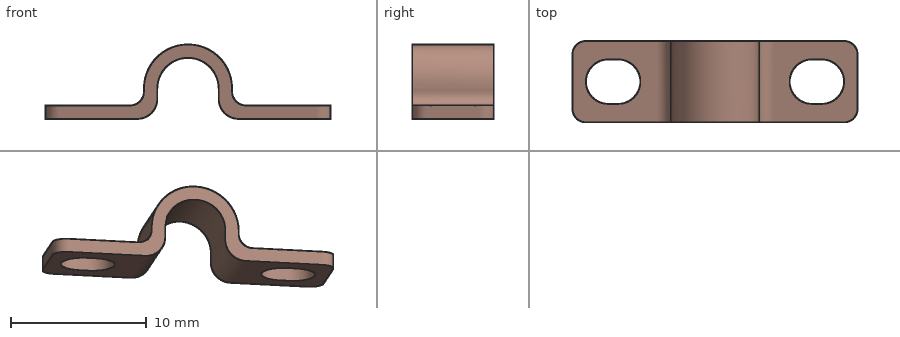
import cadquery as cq

length = 21.0
width = 6.0
height = 5.5
thickness = 1.0

arch_outer_radius = 3.25
arch_inner_radius = arch_outer_radius - thickness
arch_center_z = height - arch_outer_radius
upper_bend_radius = 1.0
lower_bend_radius = 1.5

corner_radius = 1.0
slot_length = 4.0
slot_width = 3.25
slot_offset = 7.5


def arch_solid(radius, base_z):
    """Block with a half-round top, standing on base_z and running across the width."""
    return (
        cq.Workplane("XZ")
        .moveTo(-radius, base_z)
        .lineTo(-radius, arch_center_z)
        .threePointArc((0, arch_center_z + radius), (radius, arch_center_z))
        .lineTo(radius, base_z)
        .close()
        .extrude(width / 2, both=True)
    )


def edges_along_width(x, z):
    """Selector for the edge along Y through (x, z)."""
    tolerance = 0.002
    return cq.selectors.BoxSelector(
        (x - tolerance, -width, z - tolerance),
        (x + tolerance, width, z + tolerance),
    )


strip = (
    cq.Workplane("XY")
    .rect(length, width)
    .extrude(thickness)
    .edges("|Z")
    .fillet(corner_radius)
)

strap = strip.union(arch_solid(arch_outer_radius, 0)).cut(arch_solid(arch_inner_radius, 0))

for side in (-1, 1):
    strap = strap.edges(edges_along_width(side * arch_outer_radius, thickness)).fillet(upper_bend_radius)
    strap = strap.edges(edges_along_width(side * arch_inner_radius, 0)).fillet(lower_bend_radius)

slots = (
    cq.Workplane("XY")
    .pushPoints([(-slot_offset, 0), (slot_offset, 0)])
    .slot2D(slot_length, slot_width)
    .extrude(thickness)
)

result = strap.cut(slots)